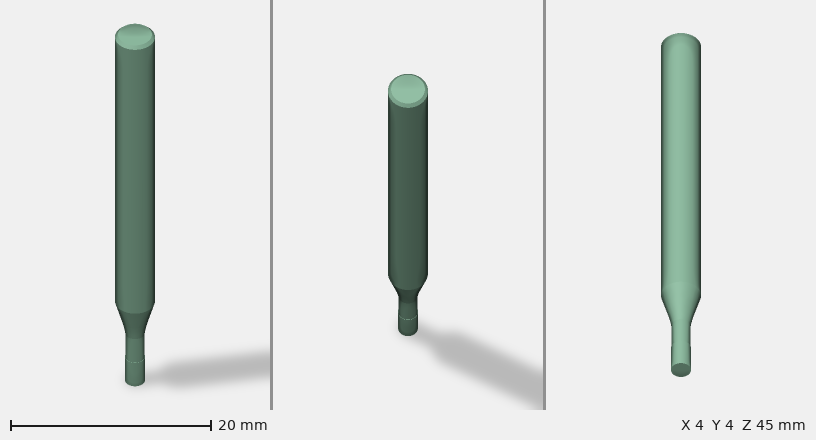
import cadquery as cq
import math

total_length = 45.0
head_length = 3.05
neck_top = 6.1
flare_top = 7.8
cone_top = 10.3

shank_radius = 4.0 / 2
head_radius = shank_radius / 2
neck_clearance = 0.035
neck_radius = head_radius - neck_clearance
shank_chamfer = 0.3

cone_half_angle = 15.5
flare_top_radius = shank_radius - (cone_top - flare_top) * math.tan(math.radians(cone_half_angle))


def make_head():
    """Plain cylindrical cutting head at the lower end."""
    return cq.Workplane("XY").circle(head_radius).extrude(head_length)


def make_shank():
    """Neck, curved flare, cone and chamfered shank, turned about the Z axis."""
    profile = (
        cq.Workplane("XZ")
        .moveTo(0, total_length)
        .lineTo(shank_radius - shank_chamfer, total_length)
        .lineTo(shank_radius, total_length - shank_chamfer)
        .lineTo(shank_radius, cone_top)
        .lineTo(flare_top_radius, flare_top)
        .tangentArcPoint((neck_radius, neck_top), relative=False)
        .lineTo(neck_radius, head_length)
        .lineTo(0, head_length)
        .close()
    )
    return profile.revolve(360, (0, 0), (0, 1))


head = make_head()
shank = make_shank()

result = cq.Compound.makeCompound([head.val(), shank.val()])